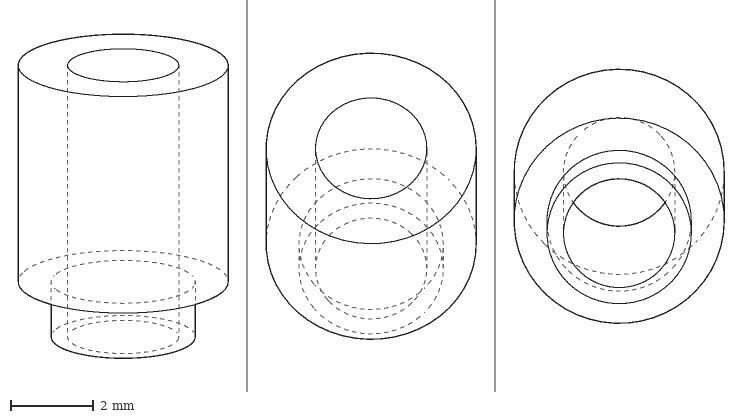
import cadquery as cq

total_height = 6.9
neck_height = 1.4
body_height = total_height - neck_height
body_diameter = 5.1
neck_diameter = 3.5
bore_diameter = 2.7

neck = cq.Workplane("XY").circle(neck_diameter / 2).extrude(neck_height)

body = (
    cq.Workplane("XY")
    .workplane(offset=neck_height)
    .circle(body_diameter / 2)
    .extrude(body_height)
)

bore = cq.Workplane("XY").circle(bore_diameter / 2).extrude(total_height)

result = neck.union(body).cut(bore)